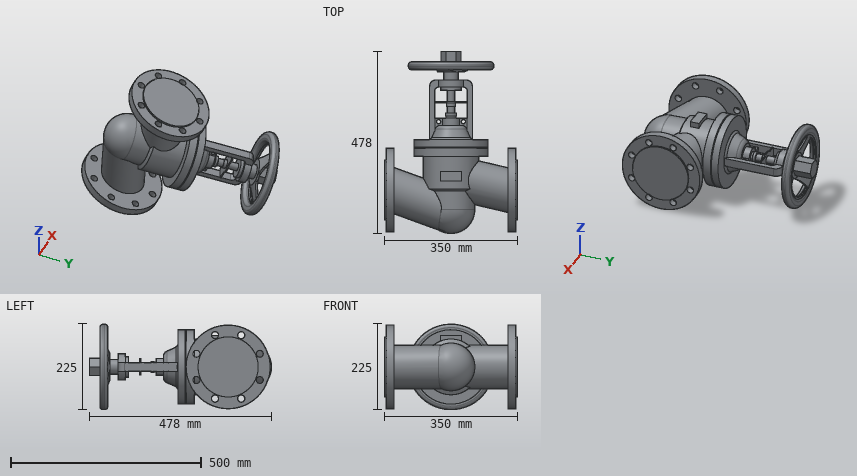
import cadquery as cq
import math


length = 350.0
stem_top = 364.0

raised_face_radius = 79.0
raised_face_thickness = 5.0
flange_radius = 110.0
flange_thickness = 21.0
bolt_circle_radius = 90.0
bolt_hole_radius = 9.0
bolt_count = 8

pipe_radius = 57.5
left_pipe_slope = 20.0
right_pipe_slope = 13.2
left_pipe_height = -56.0
right_pipe_height = 35.0

bowl_radius = 62.5
bowl_center = -51.5
shoulder_bottom = -2.5
shoulder_top = 3.0
body_radius = 73.0
body_flange_radius = 97.5
body_flange_bottom = 88.5
body_flange_top = 110.0
gasket_radius = 67.5
bonnet_flange_bottom = 113.0
bonnet_flange_top = 132.0

pad_width = 54.5
pad_bottom = 24.0
pad_top = 49.0
pad_height = 82.7

bonnet_foot_radius = 58.5
bonnet_cone_bottom = 137.5
bonnet_cone_bottom_radius = 52.0
bonnet_cone_top = 159.8
bonnet_cone_top_radius = 42.0
bonnet_crown_radius = 31.0
bonnet_top = 170.0

box_radius = 22.5
box_top = 189.0
ear_thickness = 7.5
ear_hole_radius = 5.5
ear_hole_offset = 32.5
ear_hole_height = 179.5
gland_radius = 15.0
gland_neck_radius = 13.5
gland_bottom = 194.5
gland_top = 202.5

stem_radius = 10.0
collar_radius = 12.0
collar_bottom = 219.5
indicator_bottom = 228.5
indicator_thickness = 3.5
indicator_length = 79.5
indicator_width = 30.5
indicator_disc_radius = 21.5

yoke_width = 113.0
yoke_arm_width = 14.0
yoke_thickness = 23.0
yoke_bridge_bottom = 270.0
yoke_top = 289.0
yoke_outer_fillet = 16.7
yoke_inner_fillet = 10.5
yoke_boss_radius = 35.0
bush_radius = 27.5
bush_bottom = 261.0
wheel_neck_radius = 19.5

wheel_radius = 112.5
wheel_bottom = 315.0
wheel_thickness = 21.5
rim_width = 28.5
rim_fillet = 9.0
hub_bottom = 310.0
hub_radius = 35.5
spoke_middle_radius = 60.5
spoke_middle_height = 321.0
spoke_end_height = 329.5
spoke_thickness = 5.7
spoke_rim_overlap = 3.0
spoke_count = 3
opening_radius = 127.0
opening_outer_radius = 81.5
hex_across_corners = 52.5

wheel_top = wheel_bottom + wheel_thickness
half_length = length / 2
flange_inner_x = half_length - raised_face_thickness - flange_thickness


def cylinder_y(radius, bottom, top):
    """Cylinder on the stem axis between two heights."""
    return cq.Workplane("XZ", origin=(0, bottom, 0)).circle(radius).extrude(bottom - top)


def box_y(width, bottom, top, thickness):
    """Block centred on the stem axis in X and Z between two heights."""
    middle = (bottom + top) / 2
    return cq.Workplane("XY").box(width, top - bottom, thickness).translate((0, middle, 0))


def end_flange(side):
    """Drilled flange with a raised face; side is -1 for the -X end and +1 for the +X end."""
    face = cq.Workplane("YZ").circle(raised_face_radius).extrude(half_length - flange_inner_x)
    plate = (
        cq.Workplane("YZ")
        .circle(flange_radius)
        .extrude(flange_thickness)
        .cut(
            cq.Workplane("YZ")
            .polarArray(bolt_circle_radius, 180 / bolt_count, 360, bolt_count)
            .circle(bolt_hole_radius)
            .extrude(flange_thickness)
        )
    )
    flange = plate.union(face).translate((flange_inner_x, 0, 0))
    return flange if side > 0 else flange.mirror("YZ")


def sloped_pipe(side, slope, start_height):
    """Pipe from the stem axis at the given height out to an end flange, trimmed inside it."""
    angle = math.radians(slope)
    direction = cq.Vector(side * math.cos(angle), math.sin(angle), 0)
    start = cq.Vector(0, start_height, 0)
    pipe = cq.Workplane(cq.Solid.makeCylinder(pipe_radius, length, start, direction))
    trim_length = flange_inner_x + flange_thickness / 2
    trim = cq.Workplane("XY").box(trim_length, 2 * length, 2 * length)
    return pipe.intersect(trim.translate((side * trim_length / 2, 0, 0)))


def body():
    """Bowl, neck, flanged shell, name plate pad and the two sloped pipes."""
    bowl = cq.Workplane("XY").sphere(bowl_radius).translate((0, bowl_center, 0))
    neck = cylinder_y(bowl_radius, bowl_center, shoulder_top)
    shell = (
        cq.Workplane("XY")
        .moveTo(0, shoulder_bottom)
        .lineTo(bowl_radius, shoulder_bottom)
        .lineTo(body_radius, shoulder_top)
        .lineTo(body_radius, body_flange_bottom)
        .lineTo(body_flange_radius, body_flange_bottom)
        .lineTo(body_flange_radius, body_flange_top)
        .lineTo(gasket_radius, body_flange_top)
        .lineTo(gasket_radius, bonnet_flange_bottom)
        .lineTo(body_flange_radius, bonnet_flange_bottom)
        .lineTo(body_flange_radius, bonnet_flange_top)
        .lineTo(0, bonnet_flange_top)
        .close()
        .revolve(360, (0, 0, 0), (0, 1, 0))
    )
    pad = (
        cq.Workplane("XY")
        .center(0, (pad_bottom + pad_top) / 2)
        .rect(pad_width, pad_top - pad_bottom)
        .extrude(pad_height)
    )
    left_pipe = sloped_pipe(-1, left_pipe_slope, left_pipe_height)
    right_pipe = sloped_pipe(1, -right_pipe_slope, right_pipe_height)
    return bowl.union(neck).union(shell).union(pad).union(left_pipe).union(right_pipe)


def bonnet():
    """Domed cover with the packing box, its drilled ears and the gland."""
    dome = (
        cq.Workplane("XY")
        .moveTo(0, bonnet_flange_top)
        .lineTo(bonnet_foot_radius, bonnet_flange_top)
        .lineTo(bonnet_cone_bottom_radius, bonnet_cone_bottom)
        .lineTo(bonnet_cone_top_radius, bonnet_cone_top)
        .tangentArcPoint((bonnet_crown_radius, bonnet_top), relative=False)
        .lineTo(0, bonnet_top)
        .close()
        .revolve(360, (0, 0, 0), (0, 1, 0))
    )
    packing_box = cylinder_y(box_radius, bonnet_cone_top, box_top)
    ear_span = yoke_width - yoke_arm_width
    ears = box_y(ear_span, bonnet_cone_top, box_top, ear_thickness)
    holes = (
        cq.Workplane("XY")
        .pushPoints([(side * ear_hole_offset, ear_hole_height) for side in (-1, 1)])
        .circle(ear_hole_radius)
        .extrude(ear_thickness, both=True)
    )
    gland_neck = cylinder_y(gland_neck_radius, box_top, gland_bottom)
    gland = cylinder_y(gland_radius, gland_bottom, gland_top)
    return dome.union(packing_box).union(ears.cut(holes)).union(gland_neck).union(gland)


def stem():
    """Rod with its collar and the travel indicator plate."""
    indicator_top = indicator_bottom + indicator_thickness
    rod = cylinder_y(stem_radius, bonnet_top, yoke_top)
    collar = cylinder_y(collar_radius, collar_bottom, indicator_bottom)
    disc = cylinder_y(indicator_disc_radius, indicator_bottom, indicator_top)
    bar = box_y(indicator_length, indicator_bottom, indicator_top, indicator_width)
    return rod.union(collar).union(disc).union(bar)


def yoke():
    """Two-armed frame with the boss, bush and neck that carry the handwheel."""
    window_width = yoke_width - 2 * yoke_arm_width
    frame = box_y(yoke_width, bonnet_flange_top, yoke_top, yoke_thickness)
    frame = frame.edges("|Z and >Y").fillet(yoke_outer_fillet)
    window = box_y(window_width, bonnet_flange_top, yoke_bridge_bottom, yoke_thickness)
    window = window.edges("|Z and >Y").fillet(yoke_inner_fillet)
    boss = cylinder_y(yoke_boss_radius, yoke_bridge_bottom, yoke_top)
    bush = cylinder_y(bush_radius, bush_bottom, yoke_bridge_bottom)
    neck = cylinder_y(wheel_neck_radius, yoke_top, hub_bottom)
    return frame.cut(window).union(boss).union(bush).union(neck)


def handwheel():
    """Rounded rim on a thin dished web with three openings, and the hexagon on the axis."""
    rim_inner_radius = wheel_radius - rim_width
    rim_middle_radius = wheel_radius - rim_width / 2
    rim = (
        cq.Workplane("XY")
        .center(rim_middle_radius, (wheel_bottom + wheel_top) / 2)
        .rect(rim_width, wheel_thickness)
        .revolve(360, (-rim_middle_radius, 0, 0), (-rim_middle_radius, 1, 0))
        .edges()
        .fillet(rim_fillet)
    )
    web = (
        cq.Workplane("XY")
        .moveTo(0, hub_bottom)
        .lineTo(hub_radius, hub_bottom)
        .threePointArc(
            (spoke_middle_radius, spoke_middle_height),
            (rim_inner_radius + spoke_rim_overlap, spoke_end_height),
        )
        .line(0, spoke_thickness)
        .threePointArc(
            (spoke_middle_radius, spoke_middle_height + spoke_thickness),
            (hub_radius, hub_bottom + spoke_thickness),
        )
        .lineTo(0, hub_bottom + spoke_thickness)
        .close()
        .revolve(360, (0, 0, 0), (0, 1, 0))
    )
    openings = (
        cq.Workplane("XZ", origin=(0, hub_bottom, 0))
        .polarArray(hub_radius + opening_radius, 180 / spoke_count, 360, spoke_count)
        .circle(opening_radius)
        .extrude(hub_bottom - wheel_top)
        .intersect(cylinder_y(opening_outer_radius, hub_bottom, wheel_top))
    )
    hexagon = (
        cq.Workplane("XZ", origin=(0, hub_bottom, 0))
        .polygon(6, hex_across_corners)
        .extrude(hub_bottom - stem_top)
    )
    return web.cut(openings).union(rim).union(hexagon)


result = (
    body()
    .union(end_flange(-1))
    .union(end_flange(1))
    .union(bonnet())
    .union(stem())
    .union(yoke())
    .union(handwheel())
)